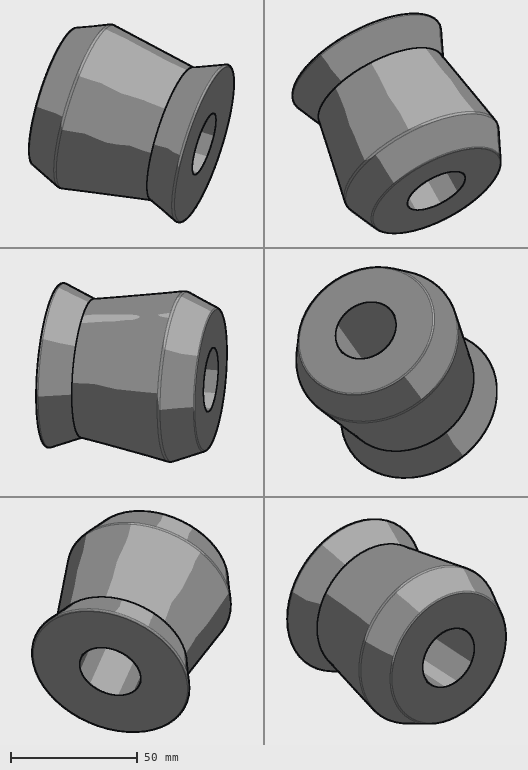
import cadquery as cq

length = 63.5
bore_radius = 12.7
crest_x = 13.3
crest_radius = 34.05
nose_radius = 28.5
waist_x = 50.05
waist_radius = 27.6
flare_radius = 33.1
edge_round = 0.7
crest_round = 2.05


def turned_body():
    """Solid of revolution: nose cone, tapering body and flared rear."""
    return (
        cq.Workplane("XY")
        .moveTo(0, 0)
        .lineTo(0, nose_radius)
        .lineTo(crest_x, crest_radius)
        .lineTo(waist_x, waist_radius)
        .lineTo(length, flare_radius)
        .lineTo(length, 0)
        .close()
        .revolve(360, (0, 0, 0), (1, 0, 0))
    )


def circle_at(x):
    """Selector for the circular edge lying in the plane at x."""
    tolerance = 0.1
    reach = 2 * crest_radius
    return cq.selectors.BoxSelector(
        (x - tolerance, -reach, -reach), (x + tolerance, reach, reach)
    )


body = turned_body()
body = body.edges(circle_at(crest_x)).fillet(crest_round)
body = body.edges(circle_at(0)).fillet(edge_round)
body = body.edges(circle_at(length)).fillet(edge_round)

bore = cq.Workplane("YZ").circle(bore_radius).extrude(length)
result = body.cut(bore)